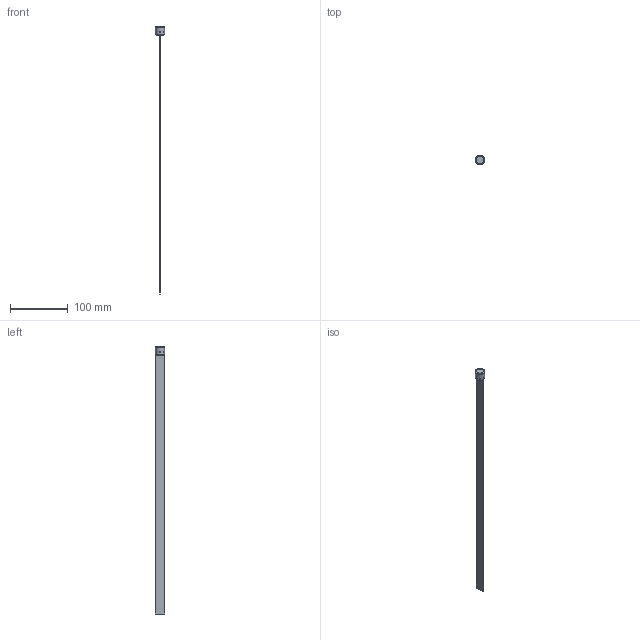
import cadquery as cq

total_height = 464.0

rim_diameter = 17.0
rim_thickness = 0.8
flare_height = 1.0
sleeve_diameter = 15.8
bore_diameter = 14.2
sleeve_length = 14.3
mouth_diameter = 12.6
mouth_depth = 1.3
sleeve_bottom = total_height - sleeve_length

rib_count = 8
rib_width = 0.8
rib_height = 4.5
rib_proud = 0.1
rib_diameter = sleeve_diameter + 2 * rib_proud

plug_nose_diameter = 13.0
plug_nose_length = 2.7
plug_top = total_height - mouth_depth
plug_bottom = sleeve_bottom - plug_nose_length

strip_thickness = 0.5
strip_width = 15.6


def disc(diameter, bottom, top):
    """Upright cylinder between two heights."""
    return cq.Workplane("XY", origin=(0, 0, bottom)).circle(diameter / 2).extrude(top - bottom)


def make_sleeve_shell():
    """Revolved sleeve: a lip over the plug, a flared rim and a straight wall."""
    bore_radius = bore_diameter / 2
    sleeve_radius = sleeve_diameter / 2
    rim_radius = rim_diameter / 2
    rim_bottom = total_height - rim_thickness
    return (
        cq.Workplane("XZ")
        .moveTo(bore_radius, sleeve_bottom)
        .lineTo(sleeve_radius, sleeve_bottom)
        .lineTo(sleeve_radius, rim_bottom - flare_height)
        .lineTo(rim_radius, rim_bottom)
        .lineTo(rim_radius, total_height)
        .lineTo(mouth_diameter / 2, total_height)
        .lineTo(bore_radius, plug_top)
        .close()
        .revolve(360, (0, 0, 0), (0, 1, 0))
    )


def make_rib(angle):
    """One upright rib, rooted in the sleeve wall."""
    rib_top = sleeve_bottom + rib_height
    bar = (
        cq.Workplane("XY", origin=(0, 0, sleeve_bottom))
        .center(rib_diameter / 2, 0)
        .rect(rib_diameter, rib_width)
        .extrude(rib_height)
    )
    bore_core = disc(bore_diameter, sleeve_bottom, rib_top)
    wall_ring = disc(rib_diameter, sleeve_bottom, rib_top).cut(bore_core)
    return bar.intersect(wall_ring).rotate((0, 0, 0), (0, 0, 1), angle)


def make_sleeve():
    sleeve = make_sleeve_shell()
    for index in range(rib_count):
        sleeve = sleeve.union(make_rib(index * 360 / rib_count))
    return sleeve


def make_strip():
    return cq.Workplane("XY").rect(strip_thickness, strip_width).extrude(sleeve_bottom)


def make_plug(strip):
    """Plug body and nose, slotted for the strip."""
    body = disc(bore_diameter, sleeve_bottom, plug_top)
    nose = disc(plug_nose_diameter, plug_bottom, sleeve_bottom)
    return body.union(nose.cut(strip))


strip = make_strip()
sleeve = make_sleeve()
plug = make_plug(strip)

bodies = [body.solids().val() for body in (sleeve, plug, strip)]
result = cq.Compound.makeCompound(bodies)